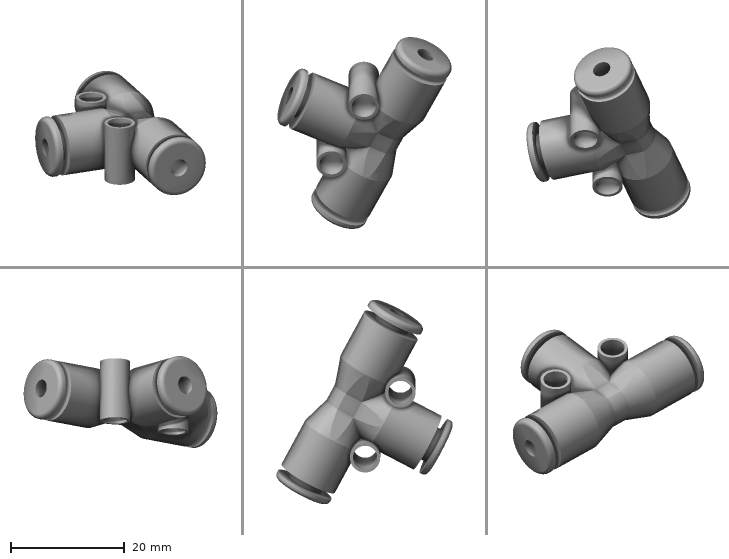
import cadquery as cq

arm_length = 18.05
body_radius = 5.35

collar_width = 1.25
collar_fillet = 0.8
neck_radius = 3.17
neck_width = 1.25
bore_radius = 1.6

taper_start = 6.6
hub_half = 1.6
hub_radius = 3.75
hub_flat_height = (hub_radius**2 - hub_half**2) ** 0.5

tube_offset = taper_start
tube_radius = 2.67
tube_hole_radius = 2.13

arm_angles = (0, 180, 270)


def arm():
    """Stepped arm along +X, revolved about its own axis."""
    neck_start = arm_length - collar_width - neck_width
    collar_start = arm_length - collar_width
    profile = [
        (0, 0),
        (0, hub_radius),
        (hub_half, hub_radius),
        (taper_start, body_radius),
        (neck_start, body_radius),
        (neck_start, neck_radius),
        (collar_start, neck_radius),
        (collar_start, body_radius),
        (arm_length, body_radius),
        (arm_length, 0),
    ]
    turned = cq.Workplane("XY").polyline(profile).close().revolve(360, (0, 0, 0), (1, 0, 0))
    rounded = turned.faces(">X").edges().fillet(collar_fillet)

    flat_outline = [
        (0, hub_flat_height),
        (hub_half, hub_flat_height),
        (taper_start, body_radius),
        (arm_length, body_radius),
        (arm_length, -body_radius),
        (taper_start, -body_radius),
        (hub_half, -hub_flat_height),
        (0, -hub_flat_height),
    ]
    envelope = cq.Workplane("XZ").polyline(flat_outline).close().extrude(body_radius, both=True)
    return rounded.intersect(envelope)


def along_arm(shape, angle):
    """Turn a shape built along +X to the direction of one arm."""
    return shape.rotate((0, 0, 0), (0, 0, 1), angle)


def upright(x, radius):
    """Vertical cylinder as tall as the bodies, in an inner corner."""
    return (
        cq.Workplane("XY", origin=(x, -tube_offset, -body_radius))
        .circle(radius)
        .extrude(2 * body_radius)
    )


result = along_arm(arm(), arm_angles[0])
for angle in arm_angles[1:]:
    result = result.union(along_arm(arm(), angle))

tube_centres = (-tube_offset, tube_offset)
for x in tube_centres:
    result = result.union(upright(x, tube_radius))
for x in tube_centres:
    result = result.cut(upright(x, tube_hole_radius))

bore = cq.Workplane("YZ").circle(bore_radius).extrude(arm_length)
for angle in arm_angles:
    result = result.cut(along_arm(bore, angle))